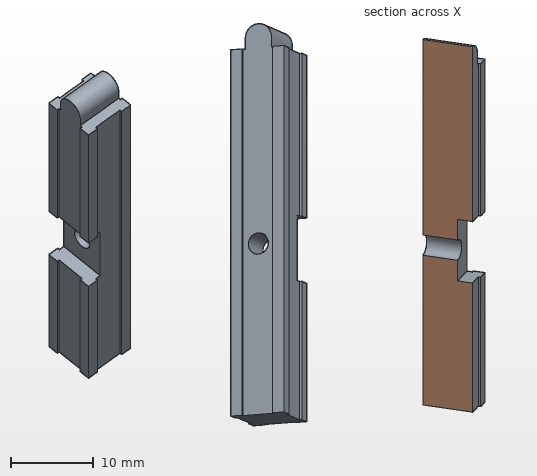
import cadquery as cq

bar_width = 7.0
bar_height = 45.0

groove_width = 4.0
groove_depth = 0.3

tongue_thickness = 3.45
tongue_height = 3.0
tongue_radius = tongue_thickness / 2
tongue_length = bar_width - 2 * groove_depth

notch_depth = 2.2
notch_bottom = 17.0
notch_height = 8.0

hole_diameter = 2.6
hole_height = notch_bottom + notch_height / 2


def make_bar():
    """Square bar with a groove along each side."""
    bar = cq.Workplane("XY").rect(bar_width, bar_width).extrude(bar_height)
    groove_offset = (bar_width - groove_depth) / 2
    for side in range(4):
        groove = (
            cq.Workplane("XY")
            .center(groove_offset, 0)
            .rect(groove_depth, groove_width)
            .extrude(bar_height)
            .rotate((0, 0, 0), (0, 0, 1), 90 * side)
        )
        bar = bar.cut(groove)
    return bar


def make_tongue():
    """Tongue along Y with a full-round top."""
    crest = bar_height + tongue_height
    shoulder = crest - tongue_radius
    return (
        cq.Workplane("XZ")
        .moveTo(-tongue_radius, bar_height)
        .lineTo(-tongue_radius, shoulder)
        .threePointArc((0, crest), (tongue_radius, shoulder))
        .lineTo(tongue_radius, bar_height)
        .close()
        .extrude(tongue_length / 2, both=True)
    )


def make_notch():
    """Block removed from the -Y side, across the full width."""
    return (
        cq.Workplane("XY")
        .box(bar_width, notch_depth, notch_height, centered=(True, False, False))
        .translate((0, -bar_width / 2, notch_bottom))
    )


def make_hole():
    """Cylinder removed right through the bar along Y."""
    return (
        cq.Workplane("XZ")
        .center(0, hole_height)
        .circle(hole_diameter / 2)
        .extrude(bar_width / 2, both=True)
    )


result = make_bar().union(make_tongue()).cut(make_notch()).cut(make_hole())